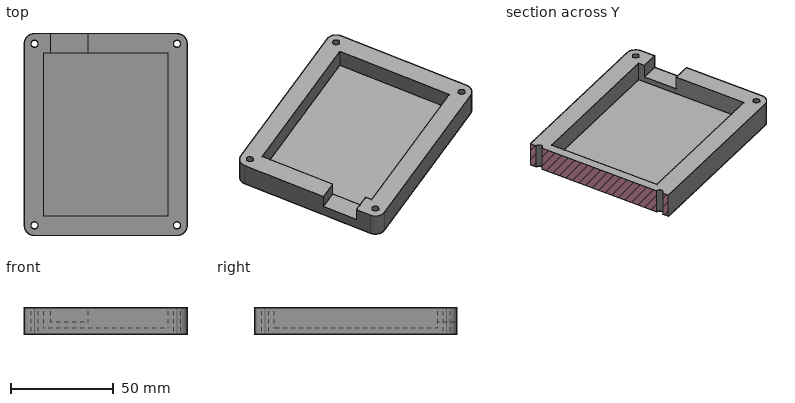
import cadquery as cq

width = 79.6
length = 98.6
height = 13.0
corner_radius = 5.0

wall = 9.5
pocket_depth = 10.0

notch_offset = 12.8
notch_width = 18.2
notch_depth = 7.0

hole_diameter = 3.4

body = cq.Workplane("XY").rect(width, length).extrude(height).edges("|Z").fillet(corner_radius)

pocket = (
    cq.Workplane("XY", origin=(0, 0, height))
    .rect(width - 2 * wall, length - 2 * wall)
    .extrude(-pocket_depth)
)

notch = cq.Workplane("XY").box(notch_width, wall, notch_depth, centered=False).translate(
    (-width / 2 + notch_offset, length / 2 - wall, height - notch_depth)
)

holes = (
    cq.Workplane("XY")
    .rect(width - 2 * corner_radius, length - 2 * corner_radius, forConstruction=True)
    .vertices()
    .circle(hole_diameter / 2)
    .extrude(height)
)

result = body.cut(pocket).cut(notch).cut(holes)